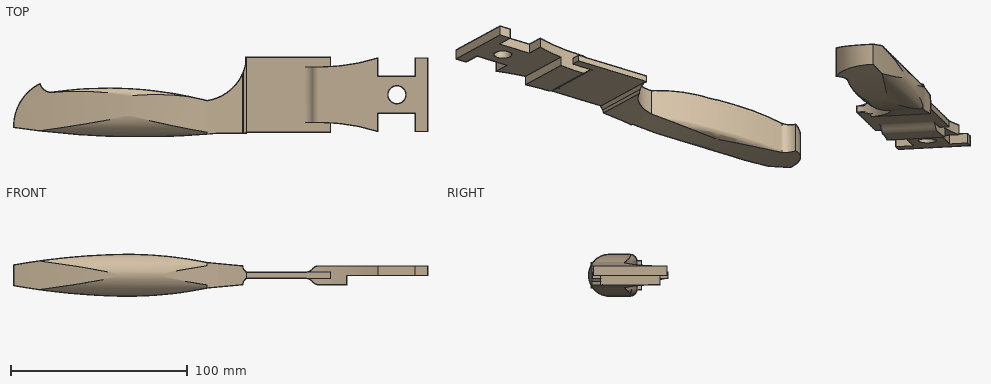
import cadquery as cq
import math

length = 234.8

barrel_radius = 12.0
barrel_low_y = -23.7
back_fillet = 4.2
tip_low_y = -18.5
tip_arc_mid = (5.6, -1.5)
hook_arc_mid = (17.4, 2.8)
neck_arc_mid = (125.0, 4.7)
front_ramp_mid = (32.9, 10.3)
rear_ramp_mid = (89.2, 10.5)
hook_point = (15.0, 6.3)
back_start = (21.0, 1.5)
back_radius = 223.0
tip_half_height = 5.9
ridge_start_x = 64.3
ridge_end_x = 65.7
handle_end_x = 109.6
handle_end_half_height = 7.3
belly_end_x = 116.0
belly_low_x = belly_end_x / 2
neck_low_y = -21.8
shoulder_y = -3.3

neck_end_x = 129.8
neck_half_height = 5.5
neck_step_length = 0.5
neck_step_half_height = 3.5
blade_overlap = 0.5
blade_start_x = 132.0
blade_end_x = 179.5
blade_width = 42.7
blade_thickness = 3.5

clip_start_x = 165.3
clip_ramp_end_x = 173.3
ramp_foot_x = 167.6
ramp_foot_z = 2.3
ramp_head_x = 171.0
ramp_head_z = 5.0
clip_half_height = 5.5
clip_half_width = 15.7
clip_lower_end_x = 188.8
tongue_low_z = -0.2
flare_end_x = 206.4
tee_start_x = 227.5
tee_half_width = 21.0
tee_neck_half_width = 10.5
hole_x = 217.2
hole_diameter = 10.0

ring_margin = 2.3

blade_half_width = blade_width / 2
blade_half_thickness = blade_thickness / 2
wide = 70.5


def extrude_both_ways(outline):
    return outline.extrude(wide / 2, both=True)


def make_back_rounding(side):
    """Ring to cut away along the arched back, on the upper (1) or lower (-1) edge."""
    chord_x = handle_end_x - back_start[0]
    chord_y = shoulder_y - back_start[1]
    chord = math.hypot(chord_x, chord_y)
    reach = math.sqrt(back_radius**2 - (chord / 2) ** 2)
    center_x = back_start[0] + chord_x / 2 + reach * chord_y / chord
    center_y = back_start[1] + chord_y / 2 - reach * chord_x / chord
    inner_r = back_radius - back_fillet
    outer_r = back_radius + ring_margin
    arc_center_z = barrel_radius - back_fillet
    arc_offset = back_fillet * math.sqrt(0.5)
    ring = (
        cq.Workplane("XZ")
        .moveTo(inner_r, side * barrel_radius)
        .threePointArc(
            (inner_r + arc_offset, side * (arc_center_z + arc_offset)),
            (back_radius, side * arc_center_z),
        )
        .lineTo(outer_r, side * arc_center_z)
        .lineTo(outer_r, side * (barrel_radius + ring_margin))
        .lineTo(inner_r, side * (barrel_radius + ring_margin))
        .close()
        .revolve(360, (0, 0), (0, 1))
        .translate((center_x, center_y, 0))
    )
    back_zone = (
        cq.Workplane("XY")
        .box(chord_x, wide, wide, centered=(False, True, True))
        .translate((back_start[0], 0, 0))
    )
    return ring.intersect(back_zone)


def make_handle_plan():
    """Plan outline of handle and neck, with the edges of its back rounded over."""
    plan = (
        cq.Workplane("XY")
        .moveTo(0, tip_low_y)
        .threePointArc(tip_arc_mid, hook_point)
        .threePointArc(hook_arc_mid, back_start)
        .radiusArc((handle_end_x, shoulder_y), back_radius)
        .threePointArc(neck_arc_mid, (blade_start_x, blade_half_width))
        .lineTo(blade_start_x, neck_low_y)
        .lineTo(belly_end_x, neck_low_y)
        .threePointArc((belly_low_x, barrel_low_y), (0, tip_low_y))
        .close()
        .extrude(barrel_radius, both=True)
    )
    return plan.cut(make_back_rounding(1)).cut(make_back_rounding(-1))


def make_handle_profile():
    """Side profile: two curved ramps up to a short ridge, then the stepped-down neck."""
    return extrude_both_ways(
        cq.Workplane("XZ")
        .moveTo(0, 0)
        .lineTo(0, tip_half_height)
        .threePointArc(front_ramp_mid, (ridge_start_x, barrel_radius))
        .lineTo(ridge_end_x, barrel_radius)
        .threePointArc(rear_ramp_mid, (handle_end_x, handle_end_half_height))
        .lineTo(neck_end_x, neck_half_height)
        .lineTo(neck_end_x + neck_step_length, neck_step_half_height)
        .lineTo(blade_start_x, blade_half_thickness)
        .lineTo(blade_start_x, 0)
        .mirrorX()
    )


def make_handle():
    """Plan and profile intersected, with the belly rounded and the neck left square."""
    belly = (
        cq.Workplane("YZ")
        .center(barrel_low_y + barrel_radius, 0)
        .circle(barrel_radius)
        .extrude(belly_end_x)
    )
    back = (
        cq.Workplane("XY")
        .box(belly_end_x, wide, wide, centered=(False, False, True))
        .translate((0, barrel_low_y + barrel_radius, 0))
    )
    neck_zone = (
        cq.Workplane("XY")
        .box(blade_start_x - handle_end_x, wide, wide, centered=(False, True, True))
        .translate((handle_end_x, 0, 0))
    )
    blank = make_handle_plan().intersect(make_handle_profile())
    return blank.intersect(belly.union(back).union(neck_zone))


def make_blade():
    start_x = blade_start_x - blade_overlap
    blade_length = blade_end_x - start_x
    return (
        cq.Workplane("XY")
        .box(blade_length, blade_width, blade_thickness, centered=(False, True, True))
        .translate((start_x, 0, 0))
    )


def make_clip():
    """Flared plan outline cut to a stepped side profile with S-shaped lead-in ramps."""
    plan = extrude_both_ways(
        cq.Workplane("XY")
        .moveTo(clip_start_x, 0)
        .lineTo(clip_start_x, clip_half_width)
        .lineTo(clip_ramp_end_x, clip_half_width)
        .tangentArcPoint((flare_end_x, tee_half_width), relative=False)
        .lineTo(flare_end_x, tee_neck_half_width)
        .lineTo(tee_start_x, tee_neck_half_width)
        .lineTo(tee_start_x, tee_half_width)
        .lineTo(length, tee_half_width)
        .lineTo(length, 0)
        .mirrorX()
    )
    ramp_mid_x = (clip_start_x + clip_ramp_end_x) / 2
    ramp_mid_z = (blade_half_thickness + clip_half_height) / 2
    profile = extrude_both_ways(
        cq.Workplane("XZ")
        .moveTo(clip_start_x, -blade_half_thickness)
        .lineTo(clip_start_x, blade_half_thickness)
        .threePointArc((ramp_foot_x, ramp_foot_z), (ramp_mid_x, ramp_mid_z))
        .threePointArc((ramp_head_x, ramp_head_z), (clip_ramp_end_x, clip_half_height))
        .lineTo(length, clip_half_height)
        .lineTo(length, tongue_low_z)
        .lineTo(clip_lower_end_x, tongue_low_z)
        .lineTo(clip_lower_end_x, -clip_half_height)
        .lineTo(clip_ramp_end_x, -clip_half_height)
        .threePointArc((ramp_head_x, -ramp_head_z), (ramp_mid_x, -ramp_mid_z))
        .threePointArc((ramp_foot_x, -ramp_foot_z), (clip_start_x, -blade_half_thickness))
        .close()
    )
    hole = extrude_both_ways(cq.Workplane("XY").center(hole_x, 0).circle(hole_diameter / 2))
    return plan.intersect(profile).cut(hole)


result = make_handle().union(make_blade()).union(make_clip())